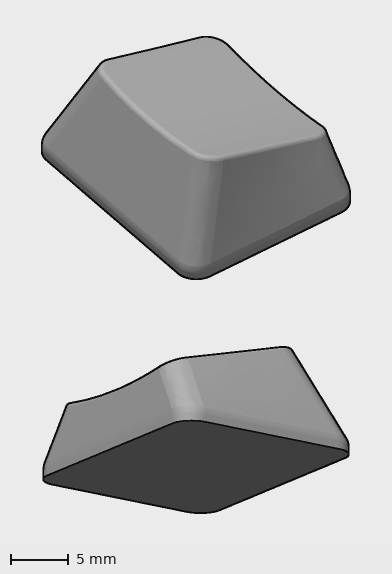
import cadquery as cq
import math

length = 22.92
width = 18.15
skirt_height = 0.73
base_corner_radius = 2.0

shoulder_top = 1.33
side_inset = 0.11
front_inset = 0.14
back_inset = 0.02

slope_angle = 15.3
blank_height = 8.95
blank_length = 16.27
blank_front = -4.88
blank_back = 8.55
blank_corner_radius = 1.93

dish_radius = 46.99
dish_height = 7.82
dish_length = 45.85
rim_radius = 0.45

slope = math.radians(slope_angle)


def rounded_outline(plane, size_x, size_y, radius):
    """Closed wire of a rounded rectangle centered on the plane's origin."""
    block = cq.Workplane(plane).rect(size_x, size_y).extrude(radius)
    block = block.edges(cq.selectors.ParallelDirSelector(plane.zDir)).fillet(radius)
    return block.faces(cq.selectors.DirectionMinMaxSelector(plane.zDir, False)).wires().val()


def make_skirt():
    outline = rounded_outline(cq.Plane.XY(), length, width, base_corner_radius)
    return cq.Workplane(outline).toPending().extrude(skirt_height)


def shoulder_outline(fraction):
    """Outline at a fraction of the shoulder's height; the inset grows as a parabola."""
    growth = fraction ** 2
    height = skirt_height + fraction * (shoulder_top - skirt_height)
    plane = cq.Plane(origin=(0, growth * (front_inset - back_inset) / 2, height))
    size_x = length - 2 * growth * side_inset
    size_y = width - growth * (front_inset + back_inset)
    return rounded_outline(plane, size_x, size_y, base_corner_radius)


def make_shoulder():
    outlines = [shoulder_outline(fraction) for fraction in (0, 0.5, 1)]
    return cq.Workplane(cq.Solid.makeLoft(outlines))


def make_body():
    """Loft from the shoulder to the sloping blank top."""
    center_y = (blank_front + blank_back) / 2
    top_plane = cq.Plane(
        origin=(0, center_y, blank_height - center_y * math.tan(slope)),
        xDir=(1, 0, 0),
        normal=(0, math.sin(slope), math.cos(slope)),
    )
    top_width = (blank_back - blank_front) / math.cos(slope)
    top = rounded_outline(top_plane, blank_length, top_width, blank_corner_radius)
    return cq.Workplane(cq.Solid.makeLoft([shoulder_outline(1), top], True))


def make_dish_cutter():
    axis_height = dish_height + dish_radius / math.cos(slope)
    dish_plane = cq.Plane(
        origin=(0, 0, axis_height),
        xDir=(1, 0, 0),
        normal=(0, math.cos(slope), -math.sin(slope)),
    )
    return cq.Workplane(dish_plane).circle(dish_radius).extrude(dish_length / 2, both=True)


keycap = make_skirt().union(make_shoulder()).union(make_body())
keycap = keycap.cut(make_dish_cutter())

dish_face = cq.selectors.DirectionMinMaxSelector(cq.Vector(0, 0, 1), True)
result = keycap.faces(dish_face).edges().fillet(rim_radius)